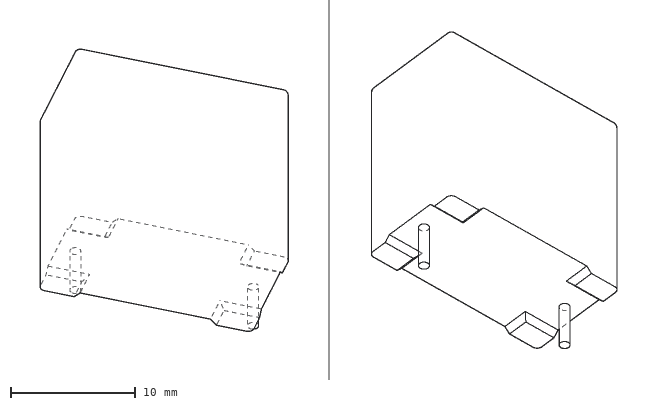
import cadquery as cq

total_height = 21.0
case_length = 18.0
case_width = 10.0
case_height = 17.5
edge_radius = 0.5

channel_depth = 0.5
long_channel_mouth = 12.0
short_channel_mouth = 6.0

lead_diameter = 0.88
lead_pitch = 15.0
lead_length = total_height - case_height + channel_depth


def channel(plane, mouth, run):
    """Trapezoidal channel cutter centred on the case, open at Z = 0."""
    half_mouth = mouth / 2
    half_roof = half_mouth - channel_depth
    return (
        cq.Workplane(plane)
        .moveTo(-half_mouth, 0)
        .lineTo(half_mouth, 0)
        .lineTo(half_roof, channel_depth)
        .lineTo(-half_roof, channel_depth)
        .close()
        .extrude(run / 2, both=True)
    )


def make_case():
    """Box with rounded upright and top edges, standing on four corner feet at Z = 0."""
    block = cq.Workplane("XY").box(case_length, case_width, case_height, centered=(True, True, False))
    rounded = block.edges("|Z or >Z").fillet(edge_radius)
    across_width = channel("XZ", long_channel_mouth, case_width)
    along_length = channel("YZ", short_channel_mouth, case_length)
    return rounded.cut(across_width).cut(along_length)


def make_lead(x):
    """Round lead hanging from the channel roof."""
    return (
        cq.Workplane("XY", origin=(x, 0, channel_depth))
        .circle(lead_diameter / 2)
        .extrude(-lead_length)
    )


case = make_case()
leads = [make_lead(side * lead_pitch / 2) for side in (-1, 1)]

result = cq.Compound.makeCompound([case.val(), *[lead.val() for lead in leads]])